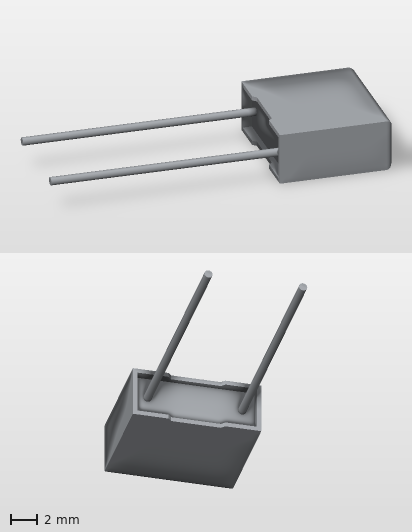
import cadquery as cq


case_width = 10.2
case_height = 4.12
case_depth = 9.08
wall = 0.35
end_radius = 0.51

notch_depth = 0.3
notch_mouth_width = 4.5
notch_slant = 0.27

fill_recess = 0.73
cavity_width = case_width - 2 * wall
cavity_height = case_height - 2 * wall
cavity_depth = case_depth - wall

overall_length = 27.1
lead_diameter = 0.65
lead_pitch = 7.5
lead_tip_y = case_depth - overall_length
lead_length = fill_recess - lead_tip_y


def block(width, height, y_start, y_end):
    """Box centred in X and Z that spans y_start to y_end."""
    return cq.Workplane("XY").box(width, y_end - y_start, height).translate((0, (y_start + y_end) / 2, 0))


def make_notch():
    """Trapezoidal cutter that narrows away from the mouth."""
    mouth_half = notch_mouth_width / 2
    inner_half = mouth_half - notch_slant
    return (
        cq.Workplane("XY")
        .polyline([
            (-mouth_half, 0),
            (mouth_half, 0),
            (inner_half, notch_depth),
            (-inner_half, notch_depth),
        ])
        .close()
        .extrude(case_height / 2, both=True)
    )


def make_case():
    """Hollow case with a rounded closed end and a notched mouth."""
    outer = block(case_width, case_height, 0, case_depth).faces(">Y").edges().fillet(end_radius)
    cavity = block(cavity_width, cavity_height, 0, cavity_depth)
    return outer.cut(cavity).cut(make_notch())


def make_fill():
    """Solid resin that fills the cavity behind the recess."""
    return block(cavity_width, cavity_height, fill_recess, cavity_depth)


def make_lead(x):
    """Round wire from its tip to the face of the fill."""
    return (
        cq.Workplane("XZ", origin=(x, fill_recess, 0))
        .circle(lead_diameter / 2)
        .extrude(lead_length)
    )


case = make_case()
fill = make_fill()
leads = [make_lead(side * lead_pitch / 2) for side in (-1, 1)]

result = cq.Compound.makeCompound([case.val(), fill.val(), *[lead.val() for lead in leads]])